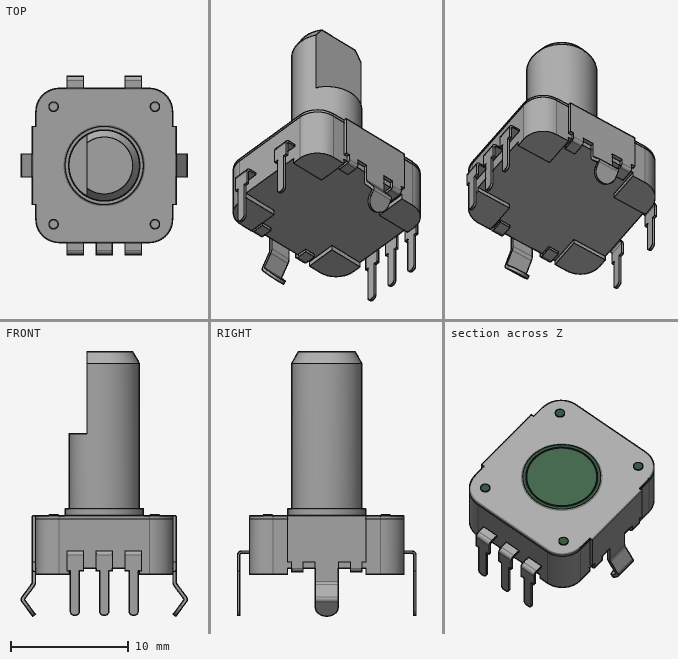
import cadquery as cq
import math


body_x = 11.7
body_y = 13.2
corner_radius = 2.0
body_height = 5.0
sheet = 0.3
rim_round = 0.07
housing_height = body_height - sheet

channel_depth = 0.5
channel_x = 6.0
channel_y = 6.69
channel_ceiling = -body_height + channel_depth

shaft_radius = 3.0
shaft_top = 14.0
flat_x = -1.5
flat_bottom = 7.0
chamfer_height = 1.0
chamfer_inset = chamfer_height * math.tan(math.radians(30))
collar_radius = 3.35
collar_height = 0.6
collar_flare = 0.1
collar_round = 0.05
bore_radius = shaft_radius + 0.05

dot_radius = 0.4
dot_height = 0.1
dot_round = 0.07
dot_spacing_x = 8.65
dot_spacing_y = 10.03

tab_width = 2 * collar_radius
tab_bottom = -3.95
clip_width = 1.0
clip_centre_y = 2.5
clip_reach = 1.0

leg_width = 1.99
leg_span = 14.19
leg_bottom = -8.58
leg_angle = math.radians(36.5)
elbow_z = -7.14
elbow_outer_radius = 0.35
upper_bend_radius = 0.55

pin_span = 15.25
pin_pitch = 2.5
pin_thickness = 0.2
pin_top = -3.0
pin_bend_radius = 0.36
pin_width = 0.8
pin_shoulder_z = -4.7
pin_bottom = -8.5
pin_tip_radius = 0.35
shoulder = 0.3
wide_shoulder = 0.36


def make_shaft():
    """Chamfered D-shaft that starts on the housing, level with the underside of the cover."""
    shaft = (
        cq.Workplane("XY", origin=(0, 0, -sheet))
        .circle(shaft_radius)
        .extrude(shaft_top + sheet)
        .faces(">Z")
        .edges()
        .chamfer(chamfer_height, chamfer_inset)
    )
    flat_depth = shaft_radius + flat_x
    flat_cut = cq.Workplane("XY").box(
        flat_depth, 2 * shaft_radius, shaft_top - flat_bottom, centered=(False, True, False)
    )
    return shaft.cut(flat_cut.translate((-shaft_radius, 0, flat_bottom)))


def make_housing():
    """Rounded block on four feet, with the shaft rising from its top face."""
    block = (
        cq.Workplane("XY", origin=(0, 0, -body_height))
        .rect(body_x, body_y)
        .extrude(housing_height)
        .edges("|Z")
        .fillet(corner_radius)
    )
    base = cq.Workplane("XY", origin=(0, 0, -body_height))
    lengthwise = base.rect(channel_x, body_y).extrude(channel_depth)
    crosswise = base.rect(body_x, channel_y).extrude(channel_depth)
    return block.cut(lengthwise).cut(crosswise).union(make_shaft())


def make_cover_plate():
    """Plate with a rounded upper rim, except for the sharp straight sides next to the tabs."""
    plate = (
        cq.Workplane("XY", origin=(0, 0, -sheet))
        .rect(body_x, body_y)
        .extrude(sheet)
        .edges("|Z")
        .fillet(corner_radius)
        .faces(">Z")
        .edges()
        .fillet(rim_round)
    )
    straight_side = body_y - 2 * corner_radius
    sharp_middle = cq.Workplane("XY", origin=(0, 0, -sheet)).rect(body_x, straight_side).extrude(sheet)
    return plate.union(sharp_middle)


def make_tab():
    """Flat tab against the +X side of the housing, rounded where it bends out of the plate."""
    return (
        cq.Workplane("XY", origin=(body_x / 2, 0, tab_bottom))
        .box(sheet, tab_width, -tab_bottom, centered=(False, True, False))
        .edges(">X and >Z")
        .fillet(rim_round)
    )


def make_clip(centre_y):
    """Strip that runs down the +X side and folds under the housing."""
    inner_x = body_x / 2
    return (
        cq.Workplane("XZ", origin=(0, centre_y + clip_width / 2, 0))
        .moveTo(inner_x, tab_bottom)
        .lineTo(inner_x + sheet, tab_bottom)
        .lineTo(inner_x + sheet, channel_ceiling)
        .radiusArc((inner_x, channel_ceiling - sheet), sheet)
        .lineTo(inner_x - clip_reach, channel_ceiling - sheet)
        .lineTo(inner_x - clip_reach, channel_ceiling)
        .lineTo(inner_x, channel_ceiling)
        .close()
        .extrude(clip_width)
    )


def make_leg():
    """Snap-in leg on the +X side: straight, bent outward, then back inward to a round tip."""
    sine = math.sin(leg_angle)
    cosine = math.cos(leg_angle)
    elbow_radius = elbow_outer_radius - sheet / 2

    straight_x = body_x / 2 + sheet / 2
    elbow_x = leg_span / 2 - elbow_outer_radius + elbow_radius / cosine
    bend_z = elbow_z + (elbow_x - straight_x) * cosine / sine
    tip_length = (elbow_z - leg_bottom - sheet / 2 * sine) / cosine
    rounding_start = tip_length - leg_width / 2
    tip_x = elbow_x - rounding_start * sine
    tip_z = elbow_z - rounding_start * cosine

    bend_setback = upper_bend_radius * math.tan(leg_angle / 2)
    elbow_setback = elbow_radius * math.tan(leg_angle)

    path = (
        cq.Workplane("XZ")
        .moveTo(straight_x, tab_bottom)
        .lineTo(straight_x, bend_z + bend_setback)
        .tangentArcPoint((straight_x + bend_setback * sine, bend_z - bend_setback * cosine), relative=False)
        .lineTo(elbow_x - elbow_setback * sine, elbow_z + elbow_setback * cosine)
        .tangentArcPoint((elbow_x - elbow_setback * sine, elbow_z - elbow_setback * cosine), relative=False)
        .lineTo(tip_x, tip_z)
    )
    strip = cq.Workplane("XY", origin=(straight_x, 0, tab_bottom)).rect(sheet, leg_width).sweep(path)

    tip_plane = cq.Plane(origin=(tip_x, 0, tip_z), xDir=(0, 1, 0), normal=(cosine, 0, -sine))
    tip = (
        cq.Workplane(tip_plane)
        .moveTo(-leg_width / 2, 0)
        .threePointArc((0, -leg_width / 2), (leg_width / 2, 0))
        .close()
        .extrude(sheet / 2, both=True)
    )
    return strip.union(tip)


def make_collar():
    """Short boss that flares into the plate; the shaft bore is cut through it later."""
    flare_radius = collar_radius + collar_flare
    return (
        cq.Workplane("XZ")
        .moveTo(0, -collar_flare)
        .lineTo(flare_radius, -collar_flare)
        .lineTo(flare_radius, 0)
        .radiusArc((collar_radius, collar_flare), collar_flare)
        .lineTo(collar_radius, collar_height - collar_round)
        .radiusArc((collar_radius - collar_round, collar_height), -collar_round)
        .lineTo(0, collar_height)
        .close()
        .revolve(360, (0, 0, 0), (0, 1, 0))
    )


def make_cover():
    """Plate with collar, tabs, clips, snap-in legs and dots, bored through for the shaft."""
    cover = make_cover_plate()
    side_parts = [make_tab(), make_leg(), make_clip(-clip_centre_y), make_clip(clip_centre_y)]
    for side_part in side_parts:
        cover = cover.union(side_part).union(side_part.mirror("YZ"))
    dots = (
        cq.Workplane("XY", origin=(0, 0, -sheet))
        .rect(dot_spacing_x, dot_spacing_y, forConstruction=True)
        .vertices()
        .circle(dot_radius)
        .extrude(dot_height + sheet)
        .faces(">Z")
        .edges()
        .fillet(dot_round)
    )
    bore = cq.Workplane("XY", origin=(0, 0, -sheet)).circle(bore_radius).extrude(sheet + collar_height)
    return cover.union(dots).union(make_collar()).cut(bore)


def make_pin(left_shoulder, right_shoulder):
    """Pin on the -Y side at X = 0: an L-bent strip trimmed to a narrow, round-tipped blade."""
    outer_y = -pin_span / 2
    inner_y = outer_y + pin_thickness
    inner_bend = pin_bend_radius - pin_thickness
    left_x = -pin_width / 2 - left_shoulder
    right_x = pin_width / 2 + right_shoulder

    bent_strip = (
        cq.Workplane("YZ", origin=(left_x, 0, 0))
        .moveTo(-body_y / 2, pin_top)
        .lineTo(outer_y + pin_bend_radius, pin_top)
        .radiusArc((outer_y, pin_top - pin_bend_radius), -pin_bend_radius)
        .lineTo(outer_y, pin_bottom)
        .lineTo(inner_y, pin_bottom)
        .lineTo(inner_y, pin_top - pin_bend_radius)
        .radiusArc((inner_y + inner_bend, pin_top - pin_thickness), inner_bend)
        .lineTo(-body_y / 2, pin_top - pin_thickness)
        .close()
        .extrude(right_x - left_x)
    )
    pin_depth = pin_span / 2 - body_y / 2
    head_height = pin_top - pin_shoulder_z
    head = cq.Workplane("XY").box(right_x - left_x, pin_depth, head_height, centered=False)
    blade = (
        cq.Workplane("XY")
        .box(pin_width, pin_depth, pin_top - pin_bottom, centered=False)
        .faces("<Z")
        .edges("|Y")
        .fillet(pin_tip_radius)
    )
    outline = head.translate((left_x, outer_y, pin_shoulder_z)).union(
        blade.translate((-pin_width / 2, outer_y, pin_bottom))
    )
    return bent_strip.intersect(outline)


def make_pins():
    """Three pins on the -Y side and two on the +Y side; the outer ones are wider toward the middle."""
    left_pin = make_pin(shoulder, wide_shoulder).translate((-pin_pitch, 0, 0))
    right_pin = make_pin(wide_shoulder, shoulder).translate((pin_pitch, 0, 0))
    pins = [make_pin(shoulder, shoulder)]
    for outer_pin in (left_pin, right_pin):
        pins.append(outer_pin)
        pins.append(outer_pin.mirror("XZ"))
    return pins


housing = make_housing()
cover = make_cover()
pins = make_pins()

result = cq.Compound.makeCompound([housing.val(), cover.val(), *[pin.val() for pin in pins]])